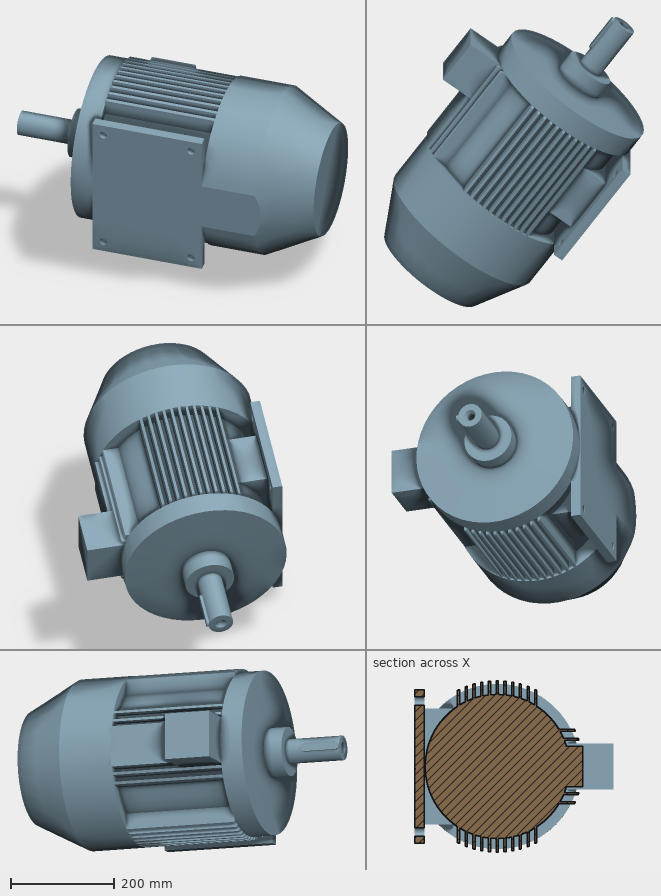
import cadquery as cq
import math


hub_start = 110.0
flange_face = 146.5
flange_rim = 152.0
frame_start = 196.0
frame_end = 418.0
cone_start = 525.0
motor_end = 630.0
frame_length = frame_end - frame_start
frame_middle = (frame_start + frame_end) / 2

shaft_radius = 24.0
hub_radius = 48.0
flange_radius = 160.0
frame_radius = 140.0
cowl_radius = 167.0
motor_end_radius = 112.0

axis_height = 160.0
base_thickness = 19.0
base_width = 298.0
base_hole_spacing_x = 178.0
base_hole_spacing_z = 254.0
base_hole_diameter = 15.0
pedestal_length = 112.0
pedestal_width = 225.0

box_side = 90.0
box_top = 225.0
plinth_width = 80.0
plinth_top = 166.0

fin_thickness = 5.0
fin_tip_radius = 166.5
fin_nose_radius = 4.0
top_fin_pitch = 15.0
top_fins_per_side = 5
side_fin_pitch = 17.5
side_fin_indices = (3, 4)
fin_overlap = 10.0

key_width = 14.0
key_length = 77.0
key_top = 28.0
center_hole_diameter = 14.0
countersink_diameter = 23.0
countersink_angle = 60.0
center_hole_depth = 36.0
drill_point_angle = 118.0


def along_axis(radius, start, end):
    """Solid cylinder on the shaft axis between two stations."""
    return cq.Workplane("YZ", origin=(start, 0, 0)).circle(radius).extrude(end - start)


def make_turned_body():
    """Shaft, hub, flange, frame and cowl as one turned profile."""
    profile = [
        (0, 0),
        (0, shaft_radius),
        (hub_start, shaft_radius),
        (hub_start, hub_radius),
        (flange_face, hub_radius),
        (flange_rim, flange_radius),
        (frame_start, flange_radius),
        (frame_start, frame_radius),
        (frame_end, frame_radius),
        (frame_end, cowl_radius),
        (cone_start, cowl_radius),
        (motor_end, motor_end_radius),
        (motor_end, 0),
    ]
    return cq.Workplane("XZ").polyline(profile).close().revolve(360, (0, 0, 0), (1, 0, 0))


def trim_to_mounting_face(body):
    """Remove everything below the mounting face."""
    below = cq.Workplane("XY").box(
        motor_end, cowl_radius, 2 * cowl_radius, centered=(False, False, True)
    ).translate((0, -axis_height - cowl_radius, 0))
    return body.cut(below)


def make_base():
    """Drilled base plate with the pedestal that joins it to the frame."""
    plate = cq.Workplane("XY").box(
        frame_length, base_thickness, base_width, centered=(True, False, True)
    ).translate((frame_middle, -axis_height, 0))
    holes = (
        cq.Workplane("XZ", origin=(frame_middle, 0, 0))
        .rect(base_hole_spacing_x, base_hole_spacing_z, forConstruction=True)
        .vertices()
        .circle(base_hole_diameter / 2)
        .extrude(axis_height)
    )
    pedestal = cq.Workplane("XY").box(
        pedestal_length, axis_height, pedestal_width, centered=(True, False, True)
    ).translate((frame_middle, -axis_height, 0))
    return plate.cut(holes).union(pedestal)


def make_fin(offset):
    """Upright fin reaching into the cowl, its mid-plane offset along Y."""
    return cq.Workplane("XY").box(
        frame_length + fin_overlap, fin_thickness, cowl_radius, centered=(False, True, False)
    ).translate((frame_start, offset, 0))


def make_fins():
    """Parallel fins above, below and beside the terminal box, with rounded front tips."""
    fins = []
    for index in range(-top_fins_per_side, top_fins_per_side + 1):
        fin = make_fin(index * top_fin_pitch)
        fins.append(fin)
        fins.append(fin.mirror("XY"))
    for index in side_fin_indices:
        fin = make_fin(index * side_fin_pitch).rotate((0, 0, 0), (1, 0, 0), -90)
        fins.append(fin)
        fins.append(fin.mirror("XY"))
    merged = along_axis(frame_radius, frame_start, frame_end)
    for fin in fins:
        merged = merged.union(fin)
    envelope = along_axis(fin_tip_radius, frame_start, cone_start)
    return merged.intersect(envelope.faces("<X").edges().fillet(fin_nose_radius))


def make_terminal_box():
    """Square box on the frame, with a plinth along the full frame."""
    def block(length, top, width):
        return cq.Workplane("XY").box(
            length, top, width, centered=(False, False, True)
        ).translate((frame_start, 0, 0))

    terminal_box = block(box_side, box_top, box_side)
    return terminal_box.union(block(frame_length, plinth_top, plinth_width))


def make_key():
    """Round-ended key in the shaft, standing up toward +Y."""
    return (
        cq.Workplane("XZ", origin=(key_length / 2, 0, 0))
        .slot2D(key_length, key_width)
        .extrude(-key_top)
    )


def make_center_hole():
    """Countersunk blind hole with a drill point in the shaft end."""
    radius = center_hole_diameter / 2
    mouth = countersink_diameter / 2
    sink_depth = (mouth - radius) / math.tan(math.radians(countersink_angle / 2))
    point_depth = radius / math.tan(math.radians(drill_point_angle / 2))
    profile = [
        (0, 0),
        (0, mouth),
        (sink_depth, radius),
        (center_hole_depth, radius),
        (center_hole_depth + point_depth, 0),
    ]
    return cq.Workplane("XZ").polyline(profile).close().revolve(360, (0, 0, 0), (1, 0, 0))


body = trim_to_mounting_face(make_turned_body())
body = body.union(make_fins()).union(make_base()).union(make_terminal_box())
result = body.union(make_key()).cut(make_center_hole())